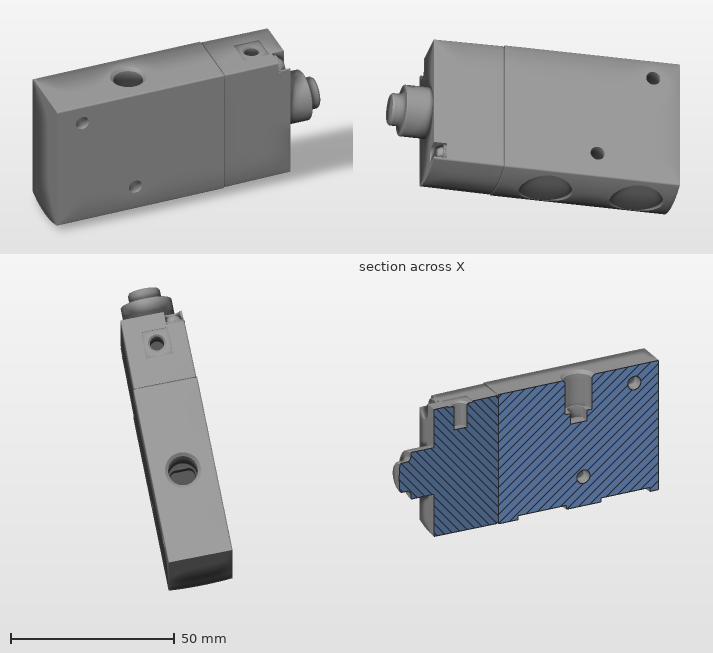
import cadquery as cq
import math


block_width = 20.0
block_height = 43.7
block_length = 55.0
belly_radius = 27.6
edge_round = 0.5

port_y = 27.5
port_diameter = 9.1
port_mouth_diameter = 11.1
port_depth = 11.6
passage_width = 7.85
passage_length = 5.35
passage_corner = 2.0
passage_depth = 3.6

cross_hole_diameter = 4.4
cross_hole_places = [(8.4, 37.7), (25.9, 9.8)]

spot_face_diameter = 16.5
spot_face_z = 1.3
spot_face_places_y = [11.4, 40.0]

neck_length = 0.4
neck_inset = 0.6
head_inset = 0.22
head_back_y = 77.2
head_draft_inset = 0.2
head_front_y = block_length + neck_length
head_length = head_back_y - head_front_y
head_draft = math.degrees(math.atan(head_draft_inset / head_length))
head_back_top = block_height - head_inset - head_draft_inset

pilot_y = 68.1
pilot_pad_side = 8.4
pilot_pad_depth = 0.3
pilot_diameter = 4.4
pilot_mouth_diameter = 5.4
pilot_depth = 8.0

button_z = 22.6
collar_diameter = 15.9
collar_end_y = 85.2
collar_chamfer = 0.3
button_diameter = 10.0
button_flare = 1.3
button_tip_diameter = 9.1
button_shoulder_y = 88.3
button_rim_y = 88.9
button_tip_y = 89.2

screw_seat_y = 73.1
disc_diameter = 6.8
disc_thickness = 0.9
dome_diameter = 5.0
dome_top_diameter = 3.2
dome_height = 1.6
dome_bulge = 0.2
knurl_count = 36
knurl_groove_diameter = 0.3
screw_offset_x = 6.4
upper_screw = (screw_offset_x, 40.05)
lower_screw = (-screw_offset_x, 5.3)


def belly_profile(inset, length, start_y, draft=0.0):
    """Upright bar along +Y with a bulging underside and four rounded long edges."""
    half_width = block_width / 2 - inset
    belly_r = belly_radius - inset
    belly_rise = belly_r - math.sqrt(belly_r**2 - half_width**2)
    top = block_height - inset
    corner_z = inset + belly_rise
    bar = (
        cq.Workplane("XZ", origin=(0, start_y, 0))
        .moveTo(-half_width, top)
        .lineTo(-half_width, corner_z)
        .threePointArc((0, inset), (half_width, corner_z))
        .lineTo(half_width, top)
        .close()
        .extrude(-length, taper=draft)
    )
    corners = cq.selectors.BoxSelector(
        (-block_width, start_y + length / 4, -0.9),
        (block_width, start_y + 3 * length / 4, block_height + 0.9),
    )
    return bar.edges(corners).fillet(edge_round)


def cylinder_along_y(diameter, place, start_y, end_y):
    x, z = place
    return (
        cq.Workplane("XZ", origin=(x, start_y, z))
        .circle(diameter / 2)
        .extrude(start_y - end_y)
    )


def countersunk_hole(diameter, mouth_diameter, depth, y, top):
    """Vertical round hole with a 45 degree mouth at height top."""
    mouth_depth = (mouth_diameter - diameter) / 2
    return (
        cq.Workplane("XZ", origin=(0, y, top))
        .moveTo(0, 0)
        .lineTo(mouth_diameter / 2, 0)
        .lineTo(diameter / 2, -mouth_depth)
        .lineTo(diameter / 2, -depth)
        .lineTo(0, -depth)
        .close()
        .revolve(360, (0, 0, 0), (0, 1, 0))
    )


def make_block():
    block = belly_profile(0, block_length, 0)

    block = block.cut(
        countersunk_hole(port_diameter, port_mouth_diameter, port_depth, port_y, block_height)
    )
    passage = (
        cq.Workplane("XY", origin=(0, port_y, block_height - port_depth))
        .rect(passage_width, passage_length)
        .extrude(-passage_depth)
        .edges("|Z")
        .fillet(passage_corner)
    )
    block = block.cut(passage)

    cross_holes = (
        cq.Workplane("YZ")
        .pushPoints(cross_hole_places)
        .circle(cross_hole_diameter / 2)
        .extrude(block_width, both=True)
    )
    spot_faces = (
        cq.Workplane("XY")
        .pushPoints([(0, y) for y in spot_face_places_y])
        .circle(spot_face_diameter / 2)
        .extrude(spot_face_z)
    )
    return block.cut(cross_holes).cut(spot_faces)


def make_button():
    """Collar and push button turned about one axis along +Y."""
    collar_r = collar_diameter / 2
    button_r = button_diameter / 2
    flare_mid = button_flare * (1 - math.sqrt(0.5))
    return (
        cq.Workplane("XY", origin=(0, 0, button_z))
        .moveTo(0, head_back_y)
        .lineTo(collar_r, head_back_y)
        .lineTo(collar_r, collar_end_y - collar_chamfer)
        .lineTo(collar_r - collar_chamfer, collar_end_y)
        .lineTo(button_r + button_flare, collar_end_y)
        .threePointArc(
            (button_r + flare_mid, collar_end_y + flare_mid),
            (button_r, collar_end_y + button_flare),
        )
        .lineTo(button_r, button_shoulder_y)
        .lineTo(button_tip_diameter / 2, button_rim_y)
        .lineTo(0, button_tip_y)
        .close()
        .revolve(360, (0, 0, 0), (0, 1, 0))
    )


def screw_pocket(place, open_sideways, open_upward):
    """Round pocket for a screw; open_sideways is the sign of X of the side it opens through."""
    x, z = place
    length = head_back_y - screw_seat_y
    reach = block_width / 2
    pocket = cylinder_along_y(dome_diameter, place, screw_seat_y, head_back_y)
    disc_recess = cylinder_along_y(
        disc_diameter, place, screw_seat_y, screw_seat_y + disc_thickness
    )
    pocket = pocket.union(disc_recess)
    bottom = z if open_upward else z - dome_diameter / 2
    height = reach if open_upward else dome_diameter
    side_opening = (
        cq.Workplane("XY", origin=(x + open_sideways * reach / 2, screw_seat_y, bottom))
        .box(reach, length, height, centered=(True, False, False))
    )
    pocket = pocket.union(side_opening)
    if open_upward:
        top_opening = (
            cq.Workplane("XY", origin=(x, screw_seat_y, z))
            .box(dome_diameter, length, reach, centered=(True, False, False))
        )
        pocket = pocket.union(top_opening)
    return pocket


def make_head():
    neck = belly_profile(neck_inset, neck_length, block_length)
    head = belly_profile(head_inset, head_length, head_front_y, head_draft)
    head = head.union(neck)

    pad_floor = head_back_top - pilot_pad_depth
    pad = (
        cq.Workplane("XY", origin=(0, pilot_y, pad_floor))
        .rect(pilot_pad_side, pilot_pad_side)
        .extrude(block_height - pad_floor)
    )
    pilot_port = countersunk_hole(
        pilot_diameter, pilot_mouth_diameter, pilot_depth, pilot_y, pad_floor
    )
    head = head.cut(pad).cut(pilot_port)

    head = head.cut(screw_pocket(upper_screw, 1, True))
    head = head.cut(screw_pocket(lower_screw, -1, False))
    return head.union(make_button())


def make_screw(place):
    x, z = place
    disc_top_y = screw_seat_y + disc_thickness
    disc = cylinder_along_y(disc_diameter, place, screw_seat_y, disc_top_y)
    knurl = (
        cq.Workplane("XZ", origin=(x, screw_seat_y, z))
        .polarArray(disc_diameter / 2, 0, 360, knurl_count)
        .circle(knurl_groove_diameter / 2)
        .extrude(-disc_thickness)
    )
    disc = disc.cut(knurl)
    foot_r = dome_diameter / 2
    top_r = dome_top_diameter / 2
    dome = (
        cq.Workplane("XY", origin=(x, disc_top_y, z))
        .moveTo(0, 0)
        .lineTo(foot_r, 0)
        .threePointArc(
            ((foot_r + top_r) / 2 + dome_bulge, dome_height / 2),
            (top_r, dome_height),
        )
        .lineTo(0, dome_height)
        .close()
        .revolve(360, (0, 0, 0), (0, 1, 0))
    )
    return disc.union(dome)


block = make_block()
head = make_head()
screws = [make_screw(place) for place in (upper_screw, lower_screw)]

result = cq.Compound.makeCompound([block.val(), head.val(), *[screw.val() for screw in screws]])